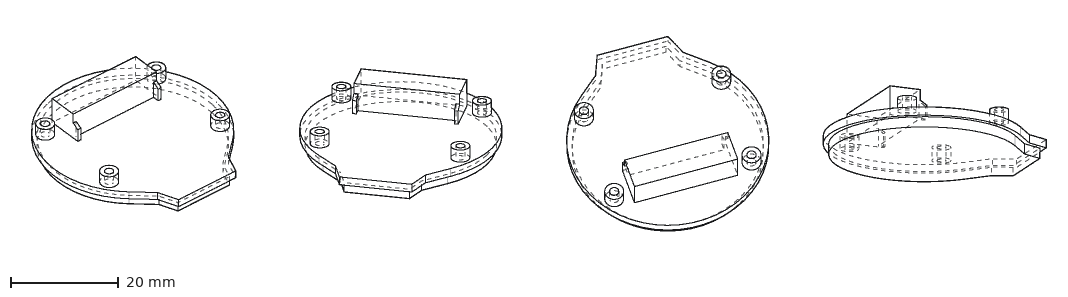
import cadquery as cq
import math


length = 40.45
total_height = 9.2
disc_diameter = 37.5
disc_radius = disc_diameter / 2
tongue_end_x = length - disc_radius
tongue_end_half_width = 6.88
shoulder_x = 17.5
shoulder_y = 8.55
lower_thickness = 2.0
upper_thickness = 1.6
lower_inset = 1.0
plate_top = lower_thickness + upper_thickness

post_x = 9.3
post_y = 13.35
post_diameter = 3.5
post_hole_diameter = 1.7
post_height = 2.5

block_height = total_height - plate_top
block_back_x = -11.3
block_front_x = -5.18
block_width = 20.05
tab_tip_x = -3.85
tab_thickness = 0.73
tab_root_height = 3.5
tab_tip_height = 2.7


def plate_outline(inset):
    shoulder_distance = math.hypot(shoulder_x, shoulder_y)
    tangent_angle = math.atan2(shoulder_y, shoulder_x) + math.acos(disc_radius / shoulder_distance)
    tangent_x = disc_radius * math.cos(tangent_angle)
    tangent_y = disc_radius * math.sin(tangent_angle)
    outline = (
        cq.Workplane("XY")
        .moveTo(tangent_x, tangent_y)
        .threePointArc((-disc_radius, 0), (tangent_x, -tangent_y))
        .lineTo(shoulder_x, -shoulder_y)
        .lineTo(tongue_end_x, -tongue_end_half_width)
        .lineTo(tongue_end_x, tongue_end_half_width)
        .lineTo(shoulder_x, shoulder_y)
        .close()
    )
    return outline.offset2D(-inset, "intersection") if inset else outline


def hollow_posts():
    centres = [(x, y) for x in (-post_x, post_x) for y in (-post_y, post_y)]
    return (
        cq.Workplane("XY", origin=(0, 0, plate_top))
        .pushPoints(centres)
        .circle(post_diameter / 2)
        .circle(post_hole_diameter / 2)
        .extrude(post_height)
    )


def connector_block():
    body = (
        cq.Workplane("XY", origin=(0, 0, plate_top))
        .center((block_back_x + block_front_x) / 2, 0)
        .rect(block_front_x - block_back_x, block_width)
        .extrude(block_height)
    )
    tab_profile = [
        (block_front_x, plate_top),
        (tab_tip_x, plate_top),
        (tab_tip_x, plate_top + tab_tip_height),
        (block_front_x, plate_top + tab_root_height),
    ]
    for tab_face_y in (block_width / 2, tab_thickness - block_width / 2):
        tab = (
            cq.Workplane("XZ", origin=(0, tab_face_y, 0))
            .polyline(tab_profile)
            .close()
            .extrude(tab_thickness)
        )
        body = body.union(tab)
    return body


lower_plate = plate_outline(lower_inset).extrude(lower_thickness)
upper_plate = plate_outline(0).extrude(upper_thickness).translate((0, 0, lower_thickness))

result = lower_plate.union(upper_plate).union(hollow_posts()).union(connector_block())